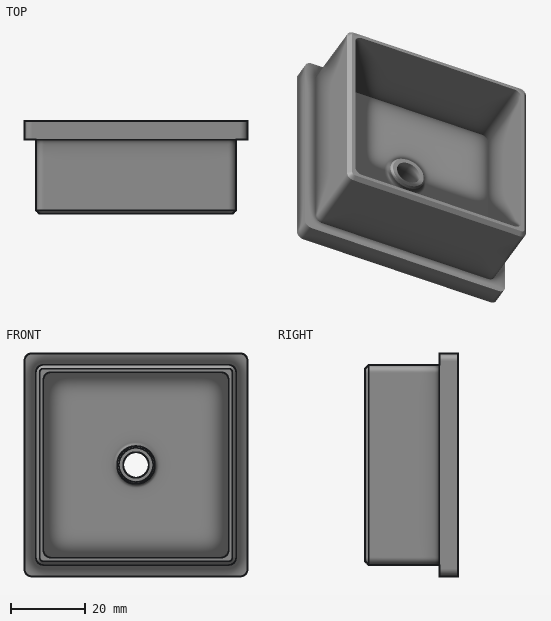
import cadquery as cq
FLANGE_SIDE = 60.0
FLANGE_THICKNESS = 5.0
TOTAL_DEPTH = 25.0
CORNER_RADIUS = 2.0

FLANGE_OVERHANG = 3.1
CUP_SIDE = FLANGE_SIDE - 2 * FLANGE_OVERHANG
WALL = 2.0
CAVITY_SIDE = CUP_SIDE - 2 * WALL
RIM_CHAMFER = 1.0
FLOOR_THICKNESS = 5.0

BOSS_DIAMETER = 10.2
BOSS_HEIGHT = 2.0
BOSS_BASE_FILLET = 1.0
BOSS_TOP_CHAMFER = 0.5
HOLE_DIAMETER = 6.8


def rounded_block(side, start, end):
    """Square block with rounded corners, between two distances in front of the back face."""
    block = cq.Workplane("XZ").workplane(offset=start).rect(side, side).extrude(end - start)
    return block.edges("|Y").fillet(CORNER_RADIUS)


def make_cup():
    """Flange and chamfer-rimmed cup, with a square cavity cleared out down to the floor."""
    flange = rounded_block(FLANGE_SIDE, 0, FLANGE_THICKNESS)
    cup = rounded_block(CUP_SIDE, 0, TOTAL_DEPTH)
    cup = cup.faces("<Y").chamfer(RIM_CHAMFER)
    cavity = rounded_block(CAVITY_SIDE, FLOOR_THICKNESS, TOTAL_DEPTH)
    return flange.union(cup).cut(cavity)


def make_boss():
    """Revolved boss on the floor, flared at its base and chamfered at its top, without the hole."""
    radius = BOSS_DIAMETER / 2
    base_radius = radius + BOSS_BASE_FILLET
    floor = -FLOOR_THICKNESS
    top = floor - BOSS_HEIGHT
    profile = (
        cq.Workplane("XY")
        .moveTo(0, 0)
        .lineTo(base_radius, 0)
        .lineTo(base_radius, floor)
        .radiusArc((radius, floor - BOSS_BASE_FILLET), -BOSS_BASE_FILLET)
        .lineTo(radius, top + BOSS_TOP_CHAMFER)
        .lineTo(radius - BOSS_TOP_CHAMFER, top)
        .lineTo(0, top)
        .close()
    )
    return profile.revolve(360, (0, 0, 0), (0, 1, 0))


def make_hole():
    """Cylinder along Y that passes through the floor and the boss."""
    return cq.Workplane("XZ").circle(HOLE_DIAMETER / 2).extrude(TOTAL_DEPTH)


result = make_cup().union(make_boss()).cut(make_hole())